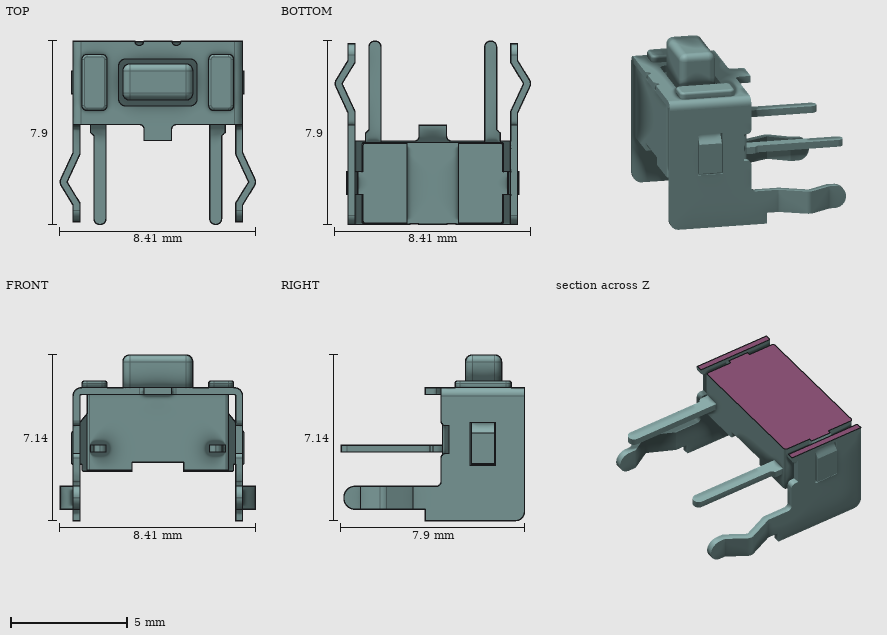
import cadquery as cq
import math


SHEET = 0.3
SHELL_HALF_WIDTH = 3.65
SHELL_HALF_DEPTH = 1.8
SHELL_TOP = 5.73
BEND_RADIUS = 0.35
REAR_CORNER_RADIUS = 0.395
RELIEF_RADIUS = 0.19
FRONT_REACH = 2.48
TAB_HALF_WIDTH = 0.6
REAR_NOTCH_X = 0.8
SIDE_NOTCH_BOTTOM = 2.89
SIDE_NOTCH_TOP = 4.095
SIDE_NOTCH_DEPTH = 0.34
WINDOW_WIDTH = 1.11
WINDOW_BOTTOM = 2.39
WINDOW_TOP = 4.22
OPENING_LENGTH = 3.38
OPENING_WIDTH = 2.02
OPENING_RADIUS = 0.3

LEG_BOTTOM = 0.49
LEG_HEIGHT = 1.0
LEG_TIP_Y = -5.98
LEG_TIP_RADIUS = 0.49
LEG_BULGE = 0.555
LEG_BULGE_START_Y = -3.07
LEG_BULGE_PEAK_Y = -4.26
LEG_BULGE_END_Y = -5.17

BODY_Y = 0.02
BODY_HALF_WIDTH = 3.045
BODY_DEPTH = 3.515
BODY_BOTTOM = 2.13
BODY_EDGE_RADIUS = 0.11
BOTTOM_EDGE_CHAMFER = 0.05
CHANNEL_WIDTH = 2.22
CHANNEL_TOP = 2.515

HOOK_WIDTH = 0.99
HOOK_REACH = 3.72
HOOK_FOOT_REACH = 3.26
HOOK_RAMP_TOP = 4.61
HOOK_RAMP_BOTTOM = 3.785
HOOK_BOTTOM = 2.42
HOOK_CHAMFER = 0.05

PAD_X = 2.725
PAD_WIDTH = 1.08
PAD_LENGTH = 2.42
PAD_HEIGHT = 0.295
PAD_CORNER_RADIUS = 0.22
PAD_TOP_RADIUS = 0.11

BUTTON_Y = 0.03
BUTTON_LENGTH = 3.01
BUTTON_WIDTH = 1.565
BUTTON_TOP = 7.14
BUTTON_RADIUS = 0.3

PIN_X = 2.49
PIN_WIDTH = 0.52
PIN_BOTTOM = 2.95
PIN_TIP_Y = -6.1
PIN_TIP_RADIUS = 0.25
PIN_ROOT_SIDE_X = 2.9
PIN_ROOT_END_Y = -2.14
PIN_TAPER_END_Y = -2.28
PIN_ROOT_Y = -1.26

SHELL_UNDERSIDE = SHELL_TOP - SHEET
SHELL_INNER_X = SHELL_HALF_WIDTH - SHEET


def both_sides(shape):
    """Add the mirror image across the plane of symmetry."""
    return shape.union(shape.mirror("YZ"))


def box(x_size, y_size, bottom, top, x=0, y=0):
    """Box centred at (x, y) between two heights."""
    return cq.Workplane("XY", origin=(x, y, bottom)).rect(x_size, y_size).extrude(top - bottom)


def bent_sheet():
    """Upside-down U of sheet with the side cutouts and rounded rear corners."""
    depth = 2 * SHELL_HALF_DEPTH
    outside = box(2 * SHELL_HALF_WIDTH, depth, 0, SHELL_TOP)
    outside = outside.edges("|Y and >Z").fillet(BEND_RADIUS)
    inside = box(2 * SHELL_INNER_X, depth, 0, SHELL_UNDERSIDE)
    inside = inside.edges("|Y and >Z").fillet(BEND_RADIUS - SHEET)
    sheet = outside.cut(inside)
    sheet = sheet.edges("|X and >Y and <Z").fillet(REAR_CORNER_RADIUS)

    notch_height = SIDE_NOTCH_TOP - SIDE_NOTCH_BOTTOM
    half_flare = notch_height / 2 + RELIEF_RADIUS
    straight_depth = SIDE_NOTCH_DEPTH - RELIEF_RADIUS
    notch = (
        cq.Workplane("YZ", origin=(0, -SHELL_HALF_DEPTH, (SIDE_NOTCH_TOP + SIDE_NOTCH_BOTTOM) / 2))
        .moveTo(0, -half_flare)
        .radiusArc((RELIEF_RADIUS, -notch_height / 2), RELIEF_RADIUS)
        .line(straight_depth, 0)
        .line(0, notch_height)
        .line(-straight_depth, 0)
        .radiusArc((0, half_flare), RELIEF_RADIUS)
        .close()
        .extrude(SHELL_HALF_WIDTH, both=True)
    )
    window = box(2 * SHELL_HALF_WIDTH, WINDOW_WIDTH, WINDOW_BOTTOM, WINDOW_TOP)
    return sheet.cut(notch).cut(window)


def shell_top_details(shell):
    """Front tab, button opening and the two half-round notches at the rear."""
    tab_root = TAB_HALF_WIDTH + RELIEF_RADIUS
    front = -SHELL_HALF_DEPTH
    tab = (
        cq.Workplane("XY", origin=(0, 0, SHELL_UNDERSIDE))
        .moveTo(-tab_root, front)
        .radiusArc((-TAB_HALF_WIDTH, front - RELIEF_RADIUS), RELIEF_RADIUS)
        .lineTo(-TAB_HALF_WIDTH, -FRONT_REACH)
        .lineTo(TAB_HALF_WIDTH, -FRONT_REACH)
        .lineTo(TAB_HALF_WIDTH, front - RELIEF_RADIUS)
        .radiusArc((tab_root, front), RELIEF_RADIUS)
        .close()
        .extrude(SHEET)
    )
    opening = box(OPENING_LENGTH, OPENING_WIDTH, SHELL_UNDERSIDE, SHELL_TOP, y=BODY_Y)
    opening = opening.edges("|Z").fillet(OPENING_RADIUS)
    notches = (
        cq.Workplane("XY", origin=(0, SHELL_HALF_DEPTH, SHELL_UNDERSIDE))
        .pushPoints([(-REAR_NOTCH_X, 0), (REAR_NOTCH_X, 0)])
        .circle(RELIEF_RADIUS)
        .extrude(SHEET)
    )
    return shell.union(tab).cut(opening).cut(notches)


def bend_shift(run_length):
    """How far the outer corner of a leg bend lies from its inner corner along Y."""
    bend_angle = math.atan2(LEG_BULGE, run_length)
    return SHEET * math.tan(bend_angle / 2)


def leg():
    """Right-hand snap-in leg with its foot plate, bulge and round tip."""
    front = -SHELL_HALF_DEPTH
    leg_top = LEG_BOTTOM + LEG_HEIGHT
    foot = (
        cq.Workplane("YZ", origin=(SHELL_INNER_X, 0, 0))
        .moveTo(front, 0)
        .lineTo(-FRONT_REACH, 0)
        .lineTo(-FRONT_REACH, leg_top)
        .lineTo(front - RELIEF_RADIUS, leg_top)
        .radiusArc((front, leg_top + RELIEF_RADIUS), -RELIEF_RADIUS)
        .close()
        .extrude(SHEET)
    )

    outer_start_y = LEG_BULGE_START_Y + bend_shift(LEG_BULGE_START_Y - LEG_BULGE_PEAK_Y)
    outer_end_y = LEG_BULGE_END_Y - bend_shift(LEG_BULGE_PEAK_Y - LEG_BULGE_END_Y)
    peak = cq.Vector(SHELL_INNER_X + LEG_BULGE, LEG_BULGE_PEAK_Y)
    outward_run = cq.Vector(LEG_BULGE, LEG_BULGE_PEAK_Y - LEG_BULGE_START_Y).normalized()
    return_run = cq.Vector(-LEG_BULGE, LEG_BULGE_END_Y - LEG_BULGE_PEAK_Y).normalized()
    round_start = peak + cq.Vector(-outward_run.y, outward_run.x) * SHEET
    round_end = peak + cq.Vector(-return_run.y, return_run.x) * SHEET
    strip = (
        cq.Workplane("XY", origin=(0, 0, LEG_BOTTOM))
        .moveTo(SHELL_INNER_X, -FRONT_REACH)
        .lineTo(SHELL_INNER_X, LEG_BULGE_START_Y)
        .lineTo(peak.x, peak.y)
        .lineTo(SHELL_INNER_X, LEG_BULGE_END_Y)
        .lineTo(SHELL_INNER_X, LEG_TIP_Y)
        .lineTo(SHELL_HALF_WIDTH, LEG_TIP_Y)
        .lineTo(SHELL_HALF_WIDTH, outer_end_y)
        .lineTo(round_end.x, round_end.y)
        .threePointArc((peak.x + SHEET, peak.y), (round_start.x, round_start.y))
        .lineTo(SHELL_HALF_WIDTH, outer_start_y)
        .lineTo(SHELL_HALF_WIDTH, -FRONT_REACH)
        .close()
        .extrude(LEG_HEIGHT)
    )
    strip = strip.edges("|X and <Y").fillet(LEG_TIP_RADIUS)
    return foot.union(strip)


def body():
    """Plastic block with a channel across its bottom."""
    block = box(2 * BODY_HALF_WIDTH, BODY_DEPTH, BODY_BOTTOM, SHELL_UNDERSIDE, y=BODY_Y)
    block = block.edges("|Z").fillet(BODY_EDGE_RADIUS)
    block = block.faces("<Z").chamfer(BOTTOM_EDGE_CHAMFER)
    channel = box(CHANNEL_WIDTH, BODY_DEPTH, BODY_BOTTOM, CHANNEL_TOP, y=BODY_Y)
    return block.cut(channel)


def hook():
    """Right-hand ramped snap hook, which reaches out through the shell window."""
    return (
        cq.Workplane("XZ", origin=(0, BODY_Y, 0))
        .moveTo(BODY_HALF_WIDTH, HOOK_RAMP_TOP)
        .lineTo(HOOK_REACH, HOOK_RAMP_BOTTOM)
        .lineTo(HOOK_REACH, HOOK_BOTTOM + HOOK_CHAMFER)
        .lineTo(HOOK_REACH - HOOK_CHAMFER, HOOK_BOTTOM)
        .lineTo(HOOK_FOOT_REACH, HOOK_BOTTOM)
        .lineTo(HOOK_FOOT_REACH, BODY_BOTTOM + HOOK_CHAMFER)
        .lineTo(HOOK_FOOT_REACH - HOOK_CHAMFER, BODY_BOTTOM)
        .lineTo(BODY_HALF_WIDTH - BODY_EDGE_RADIUS, BODY_BOTTOM)
        .lineTo(BODY_HALF_WIDTH - BODY_EDGE_RADIUS, HOOK_RAMP_TOP)
        .close()
        .extrude(HOOK_WIDTH / 2, both=True)
    )


def pad():
    """Right-hand pad with rounded corners and a rounded top rim."""
    block = box(PAD_WIDTH, PAD_LENGTH, SHELL_TOP, SHELL_TOP + PAD_HEIGHT, x=PAD_X, y=BODY_Y)
    return block.edges("|Z").fillet(PAD_CORNER_RADIUS).faces(">Z").edges().fillet(PAD_TOP_RADIUS)


def button():
    """Push button standing on the body, with one radius on all its free edges."""
    block = box(BUTTON_LENGTH, BUTTON_WIDTH, SHELL_UNDERSIDE, BUTTON_TOP, y=BUTTON_Y)
    return block.edges("|Z or >Z").fillet(BUTTON_RADIUS)


def pin():
    """Right-hand flat terminal pin with a wider root and a round tip."""
    inner_x = PIN_X - PIN_WIDTH / 2
    outer_x = PIN_X + PIN_WIDTH / 2
    return (
        cq.Workplane("XY", origin=(0, 0, PIN_BOTTOM))
        .moveTo(inner_x, PIN_ROOT_Y)
        .lineTo(inner_x, PIN_TIP_Y)
        .lineTo(outer_x, PIN_TIP_Y)
        .lineTo(outer_x, PIN_TAPER_END_Y)
        .lineTo(PIN_ROOT_SIDE_X, PIN_ROOT_END_Y)
        .lineTo(PIN_ROOT_SIDE_X, PIN_ROOT_Y)
        .close()
        .extrude(SHEET)
        .edges("|Z and <Y")
        .fillet(PIN_TIP_RADIUS)
    )


shell = shell_top_details(bent_sheet()).union(both_sides(leg()))
plastic = body().union(button())
for feature in (hook(), pad(), pin()):
    plastic = plastic.union(both_sides(feature))

result = shell.union(plastic)